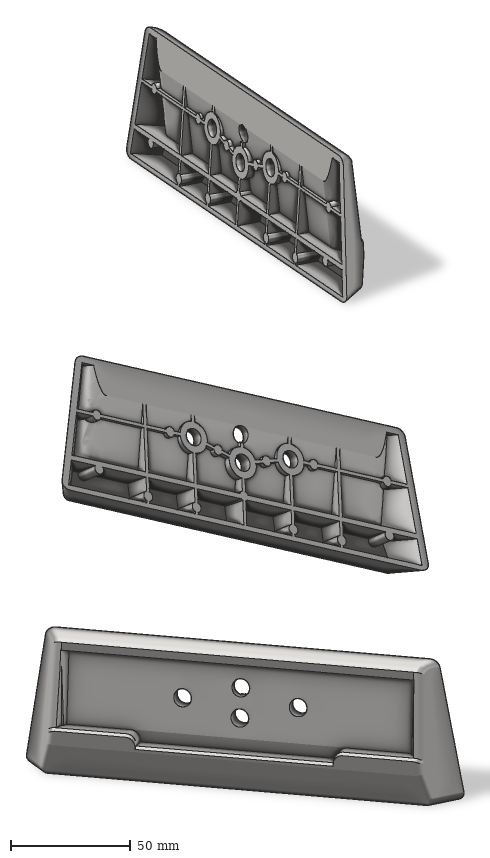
import cadquery as cq
import math

height = 62.2
length = 191.8
corner_overhang = 0.6
half_width = length / 2 + corner_overhang
front_lean = 0.065
side_draft = 0.79
side_slope = 0.12
corner_radius = 3.5

back_top = (11.5, 58.0)
step_top = (15.5, 21.5)
step_bottom = (16.9, 20.3)
pad_bottom = (16.9, 14.0)
heel = (14.2, 2.5)
sole_end = 11.7
back_slope = (step_top[0] - back_top[0]) / (back_top[1] - step_top[1])

recess_half_width = 75.5
lip_half_width = 77.1
recess_wall = 3.5
recess_top = 54.5
recess_draft = 0.3
notch_half_width = 47.5
notch_round = 4.2
notch_floor = 16.5

side_wall = 3.6
cavity_bottom = 2.3
shelf_bottom = 13.8
shelf_top = 16.1
cavity_top = 59.0
lower_floor = (10.7, 12.9)
upper_back_wall = 2.3

core_half_width = 80.2
core_radius = 9.5
core_meets_front = 46.6

rib_width = 1.5
rib_pitch = 25.3
rib_draft_angle = 3
rib_draft = math.tan(math.radians(rib_draft_angle))
pad_radius = 2.3
cross_rib_z = 36.8
foot_pad_z = 5.4
shelf_pad_z = 12.7
center_pad_z = 15.3
end_pad_x = 76.0
inner_pad_x = 37.6
boss_radius = 7.1
hole_radius = 3.8
center_boss_z = 30.3
top_hole_z = 43.2
center_boss = (0, center_boss_z)

reach = 38.4


def along_x(profile):
    """Extrude a (y, z) profile symmetrically, wider than the part."""
    return profile.extrude(half_width + reach, both=True)


def trim_sides(solid, inset):
    """Cut both slanted sides, moved inward along X by the inset."""
    plane = cq.Plane(
        origin=(half_width - inset, 0, 0),
        xDir=(-side_draft, 1, 0),
        normal=(1, side_draft, side_slope),
    )
    outside = cq.Workplane(plane).rect(2 * length, 2 * length).extrude(length)
    return solid.cut(outside).cut(outside.mirror("YZ"))


def through_y(sketch_xz):
    """Extrude an XZ sketch through the whole depth in both directions."""
    return sketch_xz.extrude(reach, both=True)


def disc(center, radius):
    """Cylinder along Y about an (x, z) centre."""
    return through_y(cq.Workplane("XZ").center(*center).circle(radius))


def sheared_prism(plan, start, end):
    """Slide a plan outline, drawn about the origin, from one (y, z) point to another."""
    path = cq.Vector(0, end[0] - start[0], end[1] - start[1])
    face = cq.Face.makeFromWires(plan.val()).translate(cq.Vector(0, *start))
    return cq.Workplane(cq.Solid.extrudeLinear(face, path))


def flared_plan(half, flare):
    """Plan outline that starts at y = 0 and widens on both sides as it goes back."""
    far_half = half + flare * reach
    corners = [(-half, 0), (half, 0), (far_half, reach), (-far_half, reach)]
    return cq.Workplane("XY").polyline(corners).close()


def core_y(z):
    """Depth of the core's front surface, which runs parallel to the back."""
    return front_lean * core_meets_front + back_slope * (core_meets_front - z)


def make_body():
    """Solid block: leaning front, stepped back, slanted sides, rounded edges."""
    front_top_y = front_lean * height
    tip_drop = height - back_top[1]
    tip_radius = ((back_top[0] - front_top_y) ** 2 + tip_drop**2) / (2 * tip_drop)
    profile = (
        cq.Workplane("YZ")
        .moveTo(sole_end, 0)
        .lineTo(0, 0)
        .lineTo(front_top_y, height)
        .radiusArc(back_top, tip_radius)
        .lineTo(*step_top)
        .lineTo(*step_bottom)
        .lineTo(*pad_bottom)
        .lineTo(*heel)
        .tangentArcPoint((sole_end, 0), relative=False)
        .close()
    )
    body = trim_sides(along_x(profile), 0)
    side_edges = body.faces("<X or >X").edges().vals()
    clear_of_front = side_wall / 2
    rounded = [e for e in side_edges if e.Center().y > front_lean * e.Center().z + clear_of_front]
    return body.newObject(rounded).fillet(corner_radius)


def make_back_recess():
    """Pocket in the back above the ledge, and the lower notch in the middle of the ledge."""
    lip_y = back_top[0]
    edge_y, ledge_z = step_top
    low_end = (core_y(ledge_z) + recess_wall, ledge_z)
    high_end = (core_y(recess_top) + recess_wall, recess_top)
    deep_part = sheared_prism(flared_plan(recess_half_width, recess_draft), low_end, high_end)
    lip_face = sheared_prism(flared_plan(lip_half_width, recess_draft), (lip_y, ledge_z), (lip_y, height))
    flat_half = notch_half_width - notch_round
    notch_outline = (
        cq.Workplane("XZ")
        .moveTo(-notch_half_width, reach)
        .lineTo(-notch_half_width, ledge_z)
        .radiusArc((-flat_half, ledge_z - notch_round), notch_round)
        .lineTo(-flat_half, notch_floor)
        .lineTo(flat_half, notch_floor)
        .lineTo(flat_half, ledge_z - notch_round)
        .radiusArc((notch_half_width, ledge_z), notch_round)
        .lineTo(notch_half_width, reach)
        .close()
    )
    notch = sheared_prism(notch_outline, (low_end[0], 0), (edge_y, 0))
    chamfer_drop = step_bottom[1] - ledge_z
    notch_chamfer = sheared_prism(notch_outline, (edge_y, 0), (step_bottom[0], chamfer_drop))
    return deep_part.union(lip_face).union(notch).union(notch_chamfer)


def make_cavities():
    """Lower cavity with its own floor, and upper cavity behind which the back wall stays."""
    lower = (
        cq.Workplane("YZ")
        .moveTo(-reach, cavity_bottom)
        .lineTo(lower_floor[0], cavity_bottom)
        .lineTo(lower_floor[1], shelf_bottom)
        .lineTo(-reach, shelf_bottom)
        .close()
    )

    def back_limit(z):
        return back_top[0] + back_slope * (back_top[1] - z) - upper_back_wall

    upper = (
        cq.Workplane("YZ")
        .moveTo(-reach, shelf_top)
        .lineTo(back_limit(shelf_top), shelf_top)
        .lineTo(back_limit(cavity_top), cavity_top)
        .lineTo(-reach, cavity_top)
        .close()
    )
    return trim_sides(along_x(lower).union(along_x(upper)), side_wall)


def make_core():
    """Block parallel to the back, with rounded ends, that leaves a groove by each side wall."""
    flat_half_width = core_half_width - core_radius
    plan = (
        cq.Workplane("XY")
        .moveTo(-flat_half_width, 0)
        .lineTo(flat_half_width, 0)
        .radiusArc((core_half_width, core_radius), -core_radius)
        .lineTo(core_half_width, reach)
        .lineTo(-core_half_width, reach)
        .lineTo(-core_half_width, core_radius)
        .radiusArc((-flat_half_width, 0), -core_radius)
        .close()
    )
    return sheared_prism(plan, (core_y(shelf_bottom), shelf_bottom), (core_y(height), height))


def upright_rib(x):
    """Full-height rib that thickens with depth."""
    return flared_plan(rib_width / 2, rib_draft).extrude(height).translate((x, 0, 0))


def cross_rib(start, end):
    """Rib between two (x, z) points."""
    span = math.dist(start, end)
    angle = math.degrees(math.atan2(end[1] - start[1], end[0] - start[0]))
    middle = ((start[0] + end[0]) / 2, (start[1] + end[1]) / 2)
    sketch = cq.Workplane("XZ").center(*middle).transformed(rotate=(0, 0, angle))
    return through_y(sketch.rect(span, rib_width))


def make_ribs():
    """Ribs, round pads and screw bosses standing in the cavities."""
    ribs = upright_rib(0)
    ribs = ribs.union(disc(center_boss, boss_radius))
    ribs = ribs.union(disc((0, center_pad_z), pad_radius))
    for side in (-1, 1):
        boss = (side * rib_pitch, cross_rib_z)
        ribs = ribs.union(disc(boss, boss_radius))
        ribs = ribs.union(cross_rib(boss, center_boss))
        ribs = ribs.union(cross_rib(boss, (side * half_width, cross_rib_z)))
        for column in (1, 2):
            ribs = ribs.union(upright_rib(side * column * rib_pitch))
        pads = [
            (side * rib_pitch, foot_pad_z),
            (side * 2 * rib_pitch, foot_pad_z),
            (side * end_pad_x, cross_rib_z),
            (side * end_pad_x, shelf_pad_z),
            (side * inner_pad_x, cross_rib_z),
            (side * rib_pitch / 2, (cross_rib_z + center_boss_z) / 2),
        ]
        for pad in pads:
            ribs = ribs.union(disc(pad, pad_radius))
    return ribs


voids = make_cavities().cut(make_core()).cut(make_ribs())
result = make_body().cut(make_back_recess()).cut(voids)
hole_centers = [
    (-rib_pitch, cross_rib_z),
    (rib_pitch, cross_rib_z),
    center_boss,
    (0, top_hole_z),
]
for center in hole_centers:
    result = result.cut(disc(center, hole_radius))